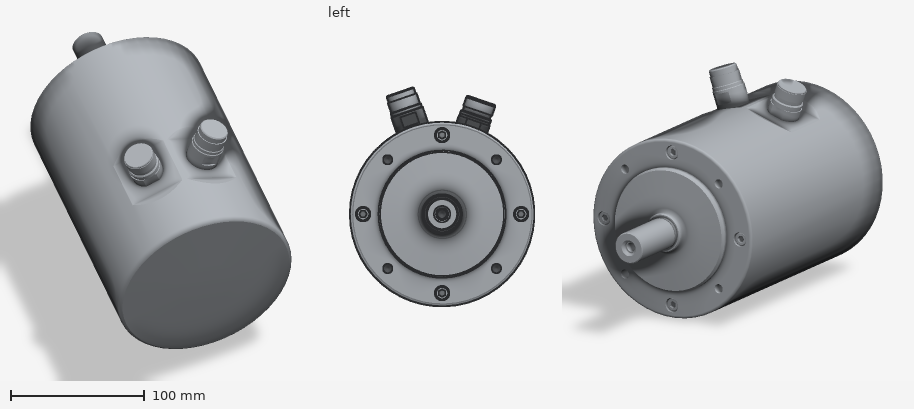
import cadquery as cq
import math

OVERALL_LENGTH = 260
HOUSING_DIAMETER = 138.0
HOUSING_RADIUS = HOUSING_DIAMETER / 2
REAR_RIM_X = 195.5
REAR_TIP_X = 196.5
REAR_ROUND_LENGTH = 3.5
REAR_ROUND_DEPTH = 2.5
REAR_ROUND_RADIUS = 4.0
FLANGE_ROUND = 2.0

PILOT_RADIUS = 47.5
PILOT_CHAMFER_START_X = -2.9
PILOT_RIM_X = -5.5
PILOT_RIM_RADIUS = 46.3

HUB_RADIUS = 30.0 / 2
HUB_FACE_X = -14.0
HUB_FACE_RADIUS = 14.3
HUB_RECESS_RADIUS = 13.5
HUB_RECESS_DEPTH = 1.3
HUB_CHAMFER_LENGTH = 1.3
HUB_FILLET_RADIUS = 3.0
CONE_ROOT_X = -7.8

SHAFT_RADIUS = 12.0
SHAFT_TIP_X = REAR_TIP_X - OVERALL_LENGTH
SHAFT_TIP_CHAMFER = 0.8
GROOVE_RADIUS = 11.5
GROOVE_WIDTH = 0.8
GROOVE_START_X = -15.9

DRILL_POINT_ANGLE = math.radians(118)
CENTRE_MOUTH_RADIUS = 12.2 / 2
CENTRE_BORE_RADIUS = 9.0 / 2
CENTRE_DRILL_RADIUS = 7.0 / 2
CENTRE_CHAMFER_DEPTH = 1.5
CENTRE_BORE_DEPTH = 3.6
CENTRE_DRILL_DEPTH = 20.8

HOLE_COUNT = 4
THREAD_CIRCLE_RADIUS = 57.5
THREAD_HOLE_RADIUS = 7.0 / 2
THREAD_HOLE_DEPTH = 13.0
SCREW_CIRCLE_RADIUS = 59.0
SCREW_RECESS_RADIUS = 5.5
SCREW_RECESS_DEPTH = 6.5
SCREW_HEAD_RADIUS = 5.0
SCREW_HEAD_HEIGHT = 5.2
SCREW_HEAD_CHAMFER = 0.4
HEX_ACROSS_FLATS = 5.0
HEX_DEPTH = 2.5

CONNECTOR_X = 127.5
CONNECTOR_TILT = 19
SEAT_HEIGHT = 65.8
SEAT_LENGTH = 41.5
SEAT_MOUTH_LENGTH = 60.3
FLATS_WIDTH = 21.8

TALL_SECTIONS = [(25.0, 80.9, 0.5), (24.0, 83.7, 0.5), (23.0, 91.5, 0), (21.5, 96.7, 0.8)]
TALL_FLAT_BOTTOM = 70.2
TALL_FLAT_TOP = 78.5
SHORT_SECTIONS = [
    (24.5, 73.8, 0),
    (23.1, 75.7, 0),
    (24.0, 78.5, 0.8),
    (21.5, 81.6, 0),
    (23.0, 88.5, 0),
    (22.0, 90.0, 0.5),
]


def x_axis_solid(profile):
    """Revolve a closed (x, radius) wire about the motor axis."""
    return profile.close().revolve(360, (0, 0, 0), (1, 0, 0))


def motor_blank():
    """Shaft, hub, conical cover, pilot and housing barrel as one turned shape."""
    cone_root_radius = HUB_RADIUS + HUB_FILLET_RADIUS
    profile = (
        cq.Workplane("XY")
        .moveTo(SHAFT_TIP_X, 0)
        .lineTo(SHAFT_TIP_X, SHAFT_RADIUS - SHAFT_TIP_CHAMFER)
        .lineTo(SHAFT_TIP_X + SHAFT_TIP_CHAMFER, SHAFT_RADIUS)
        .lineTo(GROOVE_START_X, SHAFT_RADIUS)
        .lineTo(GROOVE_START_X, GROOVE_RADIUS)
        .lineTo(GROOVE_START_X + GROOVE_WIDTH, GROOVE_RADIUS)
        .lineTo(GROOVE_START_X + GROOVE_WIDTH, SHAFT_RADIUS)
        .lineTo(HUB_FACE_X + HUB_RECESS_DEPTH, SHAFT_RADIUS)
        .lineTo(HUB_FACE_X + HUB_RECESS_DEPTH, HUB_RECESS_RADIUS)
        .lineTo(HUB_FACE_X, HUB_RECESS_RADIUS)
        .lineTo(HUB_FACE_X, HUB_FACE_RADIUS)
        .lineTo(HUB_FACE_X + HUB_CHAMFER_LENGTH, HUB_RADIUS)
        .lineTo(CONE_ROOT_X - HUB_FILLET_RADIUS, HUB_RADIUS)
        .radiusArc((CONE_ROOT_X, cone_root_radius), -HUB_FILLET_RADIUS)
        .lineTo(PILOT_RIM_X, PILOT_RIM_RADIUS)
        .lineTo(PILOT_CHAMFER_START_X, PILOT_RADIUS)
        .lineTo(0, PILOT_RADIUS)
        .lineTo(0, HOUSING_RADIUS - FLANGE_ROUND)
        .radiusArc((FLANGE_ROUND, HOUSING_RADIUS), FLANGE_ROUND)
        .lineTo(REAR_RIM_X - REAR_ROUND_LENGTH, HOUSING_RADIUS)
        .radiusArc((REAR_RIM_X, HOUSING_RADIUS - REAR_ROUND_DEPTH), REAR_ROUND_RADIUS)
        .lineTo(REAR_TIP_X, 0)
    )
    return x_axis_solid(profile)


def drill_point_length(radius):
    return radius / math.tan(DRILL_POINT_ANGLE / 2)


def shaft_centre_hole():
    """Stepped, countersunk centre hole in the shaft end."""
    drill_end = SHAFT_TIP_X + CENTRE_DRILL_DEPTH
    bore_end = SHAFT_TIP_X + CENTRE_BORE_DEPTH
    profile = (
        cq.Workplane("XY")
        .moveTo(SHAFT_TIP_X, 0)
        .lineTo(SHAFT_TIP_X, CENTRE_MOUTH_RADIUS)
        .lineTo(SHAFT_TIP_X + CENTRE_CHAMFER_DEPTH, CENTRE_BORE_RADIUS)
        .lineTo(bore_end, CENTRE_BORE_RADIUS)
        .lineTo(bore_end, CENTRE_DRILL_RADIUS)
        .lineTo(drill_end, CENTRE_DRILL_RADIUS)
        .lineTo(drill_end + drill_point_length(CENTRE_DRILL_RADIUS), 0)
    )
    return x_axis_solid(profile)


def on_flange(shape, circle_radius, angle):
    """Move a shape from the motor axis to a bolt circle of the flange."""
    return shape.translate((0, 0, circle_radius)).rotate((0, 0, 0), (1, 0, 0), angle)


def thread_hole():
    """Blind hole with a drill point, along the motor axis from the flange face."""
    profile = (
        cq.Workplane("XY")
        .lineTo(0, THREAD_HOLE_RADIUS)
        .lineTo(THREAD_HOLE_DEPTH, THREAD_HOLE_RADIUS)
        .lineTo(THREAD_HOLE_DEPTH + drill_point_length(THREAD_HOLE_RADIUS), 0)
    )
    return x_axis_solid(profile)


def screw_recess():
    """Counterbore that leaves a socket-head screw standing on its floor."""
    head_top_x = SCREW_RECESS_DEPTH - SCREW_HEAD_HEIGHT
    recess = cq.Workplane("YZ").circle(SCREW_RECESS_RADIUS).extrude(SCREW_RECESS_DEPTH)
    head = (
        cq.Workplane("YZ", origin=(head_top_x, 0, 0))
        .circle(SCREW_HEAD_RADIUS)
        .extrude(SCREW_HEAD_HEIGHT)
        .faces("<X")
        .chamfer(SCREW_HEAD_CHAMFER)
    )
    hex_corner_diameter = HEX_ACROSS_FLATS / math.cos(math.pi / 6)
    socket = (
        cq.Workplane("YZ", origin=(head_top_x, 0, 0))
        .transformed(rotate=(0, 0, 90))
        .polygon(6, hex_corner_diameter)
        .extrude(HEX_DEPTH)
    )
    return recess.cut(head).union(socket)


def tilt(shape, side):
    """Lean an upright shape about the motor axis; side +1 leans to +Y, -1 to -Y."""
    return shape.rotate((0, 0, 0), (1, 0, 0), -side * CONNECTOR_TILT)


def connector_seat():
    """Flat-bottomed pocket with sloped ends, running across the housing crest."""
    width = 2 * HOUSING_RADIUS
    return (
        cq.Workplane("XZ", origin=(CONNECTOR_X, width / 2, 0))
        .moveTo(-SEAT_LENGTH / 2, SEAT_HEIGHT)
        .lineTo(SEAT_LENGTH / 2, SEAT_HEIGHT)
        .lineTo(SEAT_MOUTH_LENGTH / 2, HOUSING_RADIUS)
        .lineTo(-SEAT_MOUTH_LENGTH / 2, HOUSING_RADIUS)
        .close()
        .extrude(width)
    )


def make_motor():
    motor = motor_blank().cut(shaft_centre_hole())
    pitch = 360 / HOLE_COUNT
    for i in range(HOLE_COUNT):
        motor = motor.cut(on_flange(screw_recess(), SCREW_CIRCLE_RADIUS, i * pitch))
        motor = motor.cut(on_flange(thread_hole(), THREAD_CIRCLE_RADIUS, (i + 0.5) * pitch))
    for side in (1, -1):
        motor = motor.cut(tilt(connector_seat(), side))
    return motor


def stacked_cylinders(sections):
    """Upright stepped cylinder rising from the seat."""
    bottom = SEAT_HEIGHT
    stack = cq.Workplane("XY")
    for diameter, top, chamfer in sections:
        plane = cq.Workplane("XY", origin=(CONNECTOR_X, 0, bottom))
        section = plane.circle(diameter / 2).extrude(top - bottom)
        if chamfer:
            section = section.faces(">Z").chamfer(chamfer)
        stack = stack.union(section)
        bottom = top
    return stack


def spanner_flats(base_diameter, bottom, top):
    """Cutter for the two flats on the -X and +X sides of a connector base."""
    height = top - bottom
    width = 2 * base_diameter
    plane = cq.Workplane("XY", origin=(CONNECTOR_X, 0, bottom))
    return plane.rect(width, width).rect(FLATS_WIDTH, width).extrude(height)


def make_tall_connector():
    base_diameter = TALL_SECTIONS[0][0]
    body = stacked_cylinders(TALL_SECTIONS)
    body = body.cut(spanner_flats(base_diameter, TALL_FLAT_BOTTOM, TALL_FLAT_TOP))
    return tilt(body, 1)


def make_short_connector():
    base_diameter, base_top, _ = SHORT_SECTIONS[0]
    body = stacked_cylinders(SHORT_SECTIONS)
    body = body.cut(spanner_flats(base_diameter, SEAT_HEIGHT, base_top))
    return tilt(body, -1)


motor = make_motor()
tall_connector = make_tall_connector()
short_connector = make_short_connector()

result = cq.Compound.makeCompound([motor.val(), tall_connector.val(), short_connector.val()])